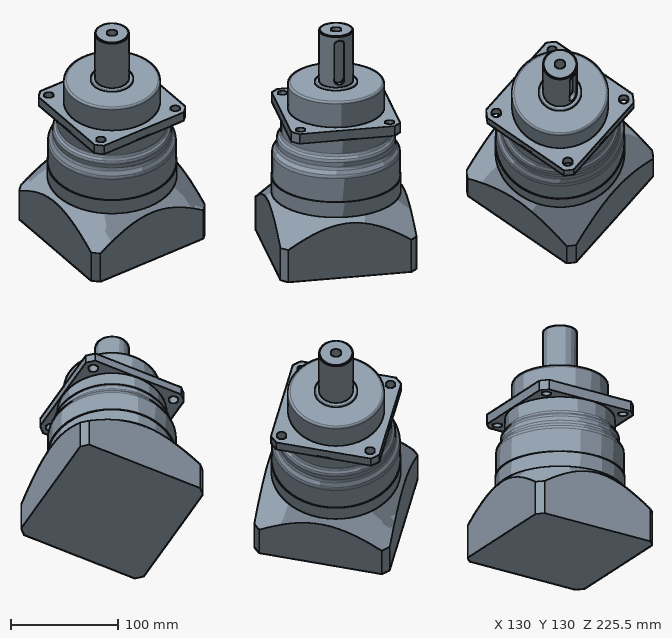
import cadquery as cq
import math

total_height = 225.5
base_width = 130.0
base_corner_radius = 87.5

collar_bottom = 60.0
collar_top = 75.5
shoulder_bottom = 101.5
shoulder_top = 108.0
neck_cone_bottom = 115.7
neck_bottom = 120.0
flange_bottom = 135.3
flange_thickness = 10.0
flange_top = flange_bottom + flange_thickness
pilot_top = 171.5
seal_ring_top = 173.0

collar_radius = 60.7
body_radius = 60.0
step_radius = 55.5
neck_radius = 51.5
pilot_radius = 45.0
seal_ring_radius = 20.0
shaft_radius = 16.0

shoulder_blend_radius = 5.6
neck_blend_radius = 4.0
pilot_fillet = 2.0
seal_ring_fillet = 1.1
shaft_chamfer = 1.0

flange_width = 104.0
flange_corner_radius = 69.0
bolt_circle_diameter = 120.0
bolt_hole_diameter = 9.0
bolt_count = 4
bolt_start_angle = 45.0

centre_hole_radius = 5.0
centre_hole_depth = 22.5
drill_point_angle = 118.0

keyway_width = 10.0
keyway_depth = 5.0
keyway_bottom = 175.7
keyway_length = 45.0


def cylinder(radius, bottom, top):
    return cq.Workplane("XY").workplane(offset=bottom).circle(radius).extrude(top - bottom)


def revolve_about_z(outline):
    """Turn a closed outline of (radius, height) points about the Z axis."""
    return cq.Workplane("XZ").polyline(outline).close().revolve(360, (0, 0), (0, 1))


def round_cornered_square(width, corner_radius, bottom, top):
    """Square plate whose corners are turned down to a circle about the part's axis."""
    block = cq.Workplane("XY").workplane(offset=bottom).rect(width, width).extrude(top - bottom)
    return block.intersect(cylinder(corner_radius, bottom, top))


def level_band(bottom, top):
    """Selector for the edges lying wholly between two heights."""
    reach = base_width
    margin = 0.2
    return cq.selectors.BoxSelector(
        (-reach, -reach, bottom - margin), (reach, reach, top + margin), boundingbox=True
    )


def make_base():
    """Square block whose top is trimmed by a 45 degree cone falling away from the collar."""
    block = round_cornered_square(base_width, base_corner_radius, 0, collar_bottom)
    cone_bottom_radius = collar_radius + collar_bottom
    cone = revolve_about_z([
        (0, 0),
        (cone_bottom_radius, 0),
        (collar_radius, collar_bottom),
        (0, collar_bottom),
    ])
    return block.intersect(cone)


def make_housing():
    """Turned housing: two conical shoulders, each blended into the cylinders beside it."""
    housing = revolve_about_z([
        (0, collar_top),
        (body_radius, collar_top),
        (body_radius, shoulder_bottom),
        (step_radius, shoulder_top),
        (step_radius, neck_cone_bottom),
        (neck_radius, neck_bottom),
        (neck_radius, flange_bottom),
        (0, flange_bottom),
    ])
    for bottom, top, blend_radius in (
        (shoulder_bottom, shoulder_top, shoulder_blend_radius),
        (neck_cone_bottom, neck_bottom, neck_blend_radius),
    ):
        housing = housing.edges(level_band(bottom, top)).fillet(blend_radius)
    return housing


def make_flange():
    """Mounting plate with one bolt hole in each corner."""
    flange = round_cornered_square(flange_width, flange_corner_radius, flange_bottom, flange_top)
    return (
        flange.faces(">Z")
        .workplane(origin=(0, 0, flange_top))
        .polarArray(bolt_circle_diameter / 2, bolt_start_angle, 360, bolt_count)
        .hole(bolt_hole_diameter)
    )


def make_keyway():
    """Round-ended slot cutter reaching in from the +Y side of the shaft."""
    floor = shaft_radius - keyway_depth
    return (
        cq.Workplane("XZ", origin=(0, floor, keyway_bottom + keyway_length / 2))
        .slot2D(keyway_length, keyway_width, 90)
        .extrude(-2 * keyway_depth)
    )


def make_centre_hole():
    """Blind drilled hole with a conical end."""
    point_length = centre_hole_radius / math.tan(math.radians(drill_point_angle / 2))
    drill_end = total_height - centre_hole_depth
    return revolve_about_z([
        (0, total_height),
        (centre_hole_radius, total_height),
        (centre_hole_radius, drill_end),
        (0, drill_end - point_length),
    ])


collar = cylinder(collar_radius, collar_bottom, collar_top)
pilot = cylinder(pilot_radius, flange_top, pilot_top).faces(">Z").edges().fillet(pilot_fillet)
seal_ring = cylinder(seal_ring_radius, pilot_top, seal_ring_top).faces(">Z").edges().fillet(seal_ring_fillet)
shaft = cylinder(shaft_radius, pilot_top, total_height).faces(">Z").chamfer(shaft_chamfer)
shaft = shaft.cut(make_keyway()).cut(make_centre_hole())

result = make_base()
for section in (collar, make_housing(), make_flange(), pilot, seal_ring, shaft):
    result = result.union(section)